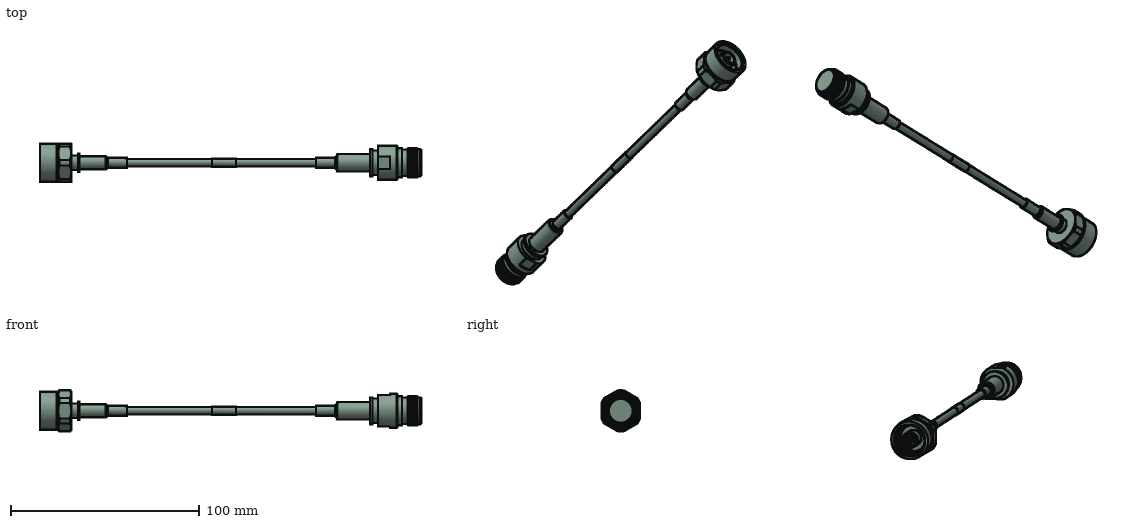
import cadquery as cq
import math


total_length = 202.91

nut_length = 16.7
nut_across_flats = 20.28
nut_across_corners = 21.9
nut_rim_radius = nut_across_flats / 2
nut_corner_radius = nut_across_corners / 2
groove_start_x = 8.8
groove_end_x = 9.5
groove_radius = 9.75
hex_front_bevel_length = 0.9
hex_rear_bevel_length = 0.7
hex_rear_face_radius = 10.1
mouth_radius = 8.6
mouth_bevel_length = 0.6
thread_bore_radius = 8.0
thread_bore_depth = 5.0
nut_inner_bore_radius = 7.2
nut_cavity_depth = 9.0

shoulder_radius = 3.95
plug_flange_start_x = 20.4
plug_flange_end_x = 21.1
plug_flange_radius = 4.85
plug_tube_radius = 3.55
plug_tube_end_x = 35.5
plug_tube_bevel = 0.6
plug_sleeve_start_x = 36.2
plug_sleeve_end_x = 46.2
plug_sleeve_root_radius = 3.0
contact_face_x = 0.8
contact_radius = 4.2
contact_bore_radius = 3.3
contact_length = nut_cavity_depth - contact_face_x
contact_bevel = 0.3
dielectric_x = 5.0
pin_base_radius = 1.6
pin_base_x = 3.0
pin_radius = 0.85
pin_tip_radius = 0.4
pin_tip_length = 0.8

cable_radius = 2.1
label_radius = 2.25
label_start_x = 91.5
label_end_x = 104.3
sleeve_radius = 2.7

jack_sleeve_start_x = 146.7
jack_sleeve_end_x = 156.8
jack_sleeve_root_radius = 3.6
ferrule_start_x = 157.8
ferrule_bevel_length = 1.0
ferrule_bevel_depth = 0.3
ferrule_radius = 4.75
jack_flange_start_x = 175.4
jack_flange_end_x = 176.9
jack_flange_radius = 7.2
jack_neck_radius = 6.6
barrel_start_x = 179.7
barrel_end_x = 190.2
barrel_radius = 9.1
barrel_bevel = 0.6
collar_end_x = 192.5
collar_radius = 7.75
relief_radius = 7.1
thread_start_x = 195.5
thread_pitch = 25.4 / 24
thread_turns = 5
thread_crest_radius = 15.875 / 2
thread_depth = 0.65
thread_end_x = thread_start_x + thread_turns * thread_pitch
jack_nose_radius = 7.2
jack_nose_bevel = 0.8
flat_length = 6.5
flat_distance = 8.45


def turned(profile):
    """Solid of revolution about the X axis from (x, radius) corners."""
    return cq.Workplane("XY").polyline(profile).close().revolve(360, (0, 0, 0), (1, 0, 0))


def cylinder(start_x, end_x, radius):
    return turned([(start_x, 0), (start_x, radius), (end_x, radius), (end_x, 0)])


def make_nut():
    """Coupling nut: round rim, groove, bevelled hexagon, stepped cavity and a rear bore."""
    rim = turned([
        (0, 0),
        (0, nut_rim_radius),
        (groove_start_x, nut_rim_radius),
        (groove_start_x, groove_radius),
        (groove_end_x, groove_radius),
        (groove_end_x, 0),
    ])
    hexagon = (
        cq.Workplane("YZ", origin=(groove_end_x, 0, 0))
        .transformed(rotate=(0, 0, 90))
        .polygon(6, nut_across_flats / math.cos(math.pi / 6))
        .extrude(nut_length - groove_end_x)
    )
    hexagon_envelope = turned([
        (groove_end_x, 0),
        (groove_end_x, groove_radius),
        (groove_end_x + hex_front_bevel_length, nut_corner_radius),
        (nut_length - hex_rear_bevel_length, nut_corner_radius),
        (nut_length, hex_rear_face_radius),
        (nut_length, 0),
    ])
    cavity = turned([
        (0, 0),
        (0, mouth_radius),
        (mouth_bevel_length, thread_bore_radius),
        (thread_bore_depth, thread_bore_radius),
        (thread_bore_depth, nut_inner_bore_radius),
        (nut_cavity_depth, nut_inner_bore_radius),
        (nut_cavity_depth, 0),
    ])
    rear_bore = cylinder(nut_cavity_depth, nut_length, shoulder_radius)
    return rim.union(hexagon.intersect(hexagon_envelope)).cut(cavity).cut(rear_bore)


def make_plug():
    """Plug body: hollow contact with a pin, shoulder, flange, crimp tube and sleeve."""
    body = turned([
        (dielectric_x, 0),
        (dielectric_x, contact_bore_radius),
        (contact_face_x, contact_bore_radius),
        (contact_face_x, contact_radius - contact_bevel),
        (contact_face_x + contact_bevel, contact_radius),
        (contact_face_x + contact_length, contact_radius),
        (contact_face_x + contact_length, shoulder_radius),
        (plug_flange_start_x, shoulder_radius),
        (plug_flange_start_x, plug_flange_radius),
        (plug_flange_end_x, plug_flange_radius),
        (plug_flange_end_x, plug_tube_radius),
        (plug_tube_end_x - plug_tube_bevel, plug_tube_radius),
        (plug_tube_end_x, plug_sleeve_root_radius),
        (plug_sleeve_start_x, sleeve_radius),
        (plug_sleeve_end_x, sleeve_radius),
        (plug_sleeve_end_x, cable_radius),
        (plug_tube_end_x, cable_radius),
        (plug_tube_end_x, 0),
    ])
    pin = turned([
        (contact_face_x, 0),
        (contact_face_x, pin_tip_radius),
        (contact_face_x + pin_tip_length, pin_radius),
        (pin_base_x, pin_radius),
        (pin_base_x, pin_base_radius),
        (dielectric_x, pin_base_radius),
        (dielectric_x, 0),
    ])
    return body.union(pin)


def make_cable():
    return cylinder(plug_tube_end_x, ferrule_start_x, cable_radius)


def make_label():
    """Thin sleeve around the cable."""
    return cylinder(label_start_x, label_end_x, label_radius).cut(make_cable())


def thread_profile():
    """Corners of V-shaped ridges, from the first root to the last root."""
    root_radius = thread_crest_radius - thread_depth
    corners = [(thread_start_x, root_radius)]
    for turn in range(thread_turns):
        ridge_x = thread_start_x + turn * thread_pitch
        corners.append((ridge_x + thread_pitch / 2, thread_crest_radius))
        corners.append((ridge_x + thread_pitch, root_radius))
    return corners


def make_jack():
    """Jack: sleeve, ferrule, flange, barrel with two wrench flats, collar and threaded nose."""
    body = turned([
        (ferrule_start_x, 0),
        (ferrule_start_x, cable_radius),
        (jack_sleeve_start_x, cable_radius),
        (jack_sleeve_start_x, sleeve_radius),
        (jack_sleeve_end_x, sleeve_radius),
        (ferrule_start_x, jack_sleeve_root_radius),
        (ferrule_start_x, ferrule_radius - ferrule_bevel_depth),
        (ferrule_start_x + ferrule_bevel_length, ferrule_radius),
        (jack_flange_start_x, ferrule_radius),
        (jack_flange_start_x, jack_flange_radius),
        (jack_flange_end_x, jack_flange_radius),
        (jack_flange_end_x, jack_neck_radius),
        (barrel_start_x, jack_neck_radius),
        (barrel_start_x, barrel_radius),
        (barrel_end_x - barrel_bevel, barrel_radius),
        (barrel_end_x, barrel_radius - barrel_bevel),
        (barrel_end_x, collar_radius),
        (collar_end_x, collar_radius),
        (collar_end_x, relief_radius),
        (thread_start_x, relief_radius),
        *thread_profile(),
        (thread_end_x, jack_nose_radius),
        (total_length - jack_nose_bevel, jack_nose_radius),
        (total_length, jack_nose_radius - jack_nose_bevel),
        (total_length, 0),
    ])
    flat_height = barrel_radius - flat_distance
    for side in (1, -1):
        flat_cutter = cq.Workplane("XY").box(flat_length, 2 * barrel_radius, flat_height)
        flat_center = (barrel_start_x + flat_length / 2, 0, side * (flat_distance + flat_height / 2))
        body = body.cut(flat_cutter.translate(flat_center))
    return body


nut = make_nut()
plug = make_plug()
cable = make_cable()
label = make_label()
jack = make_jack()

result = cq.Compound.makeCompound([nut.val(), plug.val(), cable.val(), label.val(), jack.val()])